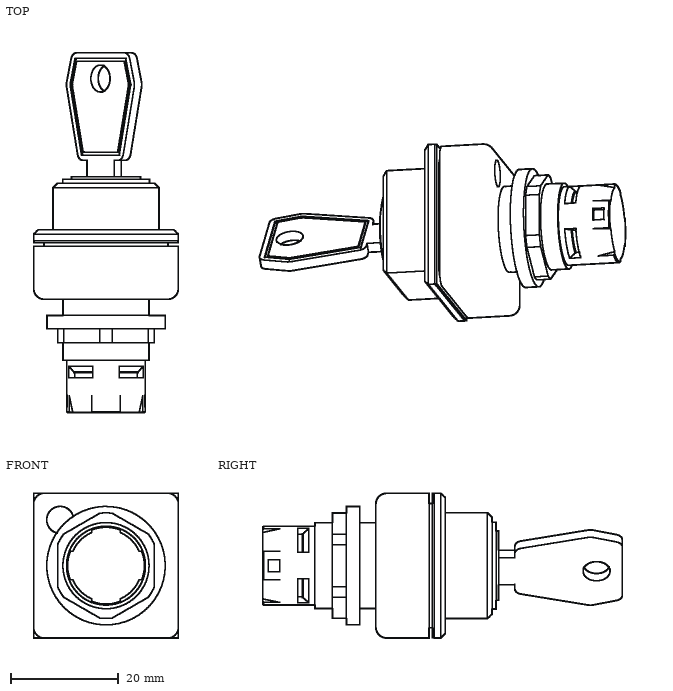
import cadquery as cq
import math


plate_side = 26.9
edge_chamfer = 0.85
spacer_side = 23.1
spacer_corner = 2.0
head_side = 19.7
spacer_front = 0.6
base_sheet_side = 26.8
base_sheet_front = 0.95
plate_front = 3.05
head_front = 11.7

collar_diameter = 16.15
collar_front = 12.45
lock_diameter = 12.9
lock_front = 12.9

housing_rear = -9.9
housing_round = 2.05
peg_hole_diameter = 5.0
peg_hole_offset = 8.5
peg_hole_depth = 1.5
core_side = 24.4
core_round = 2.0

barrel_diameter = 16.0
barrel_rear = -21.2
washer_diameter = 22.0
washer_front = -12.85
washer_rear = -15.35
nut_sides = 6
nut_flats = 18.0
nut_corner_diameter = 19.6
nut_rear = -17.95

tail_diameter = 14.65
tail_rear = -30.9
tail_chamfer = 0.2
slot_ledge_diameter = 12.9
slot_floor_diameter = 12.6
slot_front = -22.3
slot_rear = -24.4
slot_ramp = 1.05
slot_ledge = 0.15
slot_side = 2.45
notch_front = -27.75
notch_end_diameter = 13.4
notch_side = 2.65
window_front = -27.7
window_rear = -29.8
window_width = 2.2
window_depth = 1.2

key_turn = -45.0
key_thickness = 1.95
key_shift = -0.5
shank_width = 7.15
shank_insertion = 1.0
shank_root = lock_front - shank_insertion
bow_rear = 15.9
bow_front = 35.9
bow_rear_half_width = 5.75
bow_front_half_width = 7.4
bow_shoulder_half_width = 9.0
bow_shoulder_y = 30.0
bow_round = 1.5
groove_inset = 1.0
groove_width = 0.55
groove_depth = 0.3
key_hole_diameter = 5.0
key_hole_y = 31.1

overlap = 1.0


def square_block(side, rear, front):
    return cq.Workplane("XY").box(side, front - rear, side).translate((0, (front + rear) / 2, 0))


def cylinder(diameter, rear, front):
    return cq.Workplane("XZ", origin=(0, front, 0)).circle(diameter / 2).extrude(front - rear)


def turned(profile):
    """Solid of revolution about Y from (radius, y) points."""
    return cq.Workplane("XY").polyline(profile).close().revolve(360, (0, 0, 0), (0, 1, 0))


def make_front():
    """Spacer, bevelled plate on a slightly smaller base sheet, square head and round lock face."""
    spacer = square_block(spacer_side, 0, spacer_front).edges("|Y").fillet(spacer_corner)
    base_sheet = square_block(base_sheet_side, spacer_front, base_sheet_front)
    plate = square_block(plate_side, base_sheet_front, plate_front).faces(">Y").chamfer(edge_chamfer)
    head = square_block(head_side, plate_front, head_front).faces(">Y").chamfer(edge_chamfer)
    collar = cylinder(collar_diameter, head_front, collar_front)
    lock = cylinder(lock_diameter, collar_front, lock_front)
    return spacer.union(base_sheet).union(plate).union(head).union(collar).union(lock)


def make_housing():
    housing = square_block(plate_side, housing_rear, 0)
    housing = housing.edges("|Y").fillet(housing_round).faces("<Y").edges().fillet(housing_round)
    hole_floor = housing_rear + peg_hole_depth
    hole = cylinder(peg_hole_diameter, housing_rear - overlap, hole_floor + core_round)
    hole = hole.translate((-peg_hole_offset, 0, peg_hole_offset))
    core = square_block(core_side, hole_floor, hole_floor + 2 * core_round)
    core = core.edges("|Y").fillet(core_round).faces("<Y").edges().fillet(core_round)
    return housing.cut(hole.cut(core))


def make_nut():
    """Hexagon with flats facing +X and -X and its corners turned round."""
    half_side_angle = 180 / nut_sides
    corner_diameter = nut_flats / math.cos(math.radians(half_side_angle))
    nut = cq.Workplane("XZ", origin=(0, washer_rear, 0)).polygon(nut_sides, corner_diameter)
    nut = nut.extrude(washer_rear - nut_rear).rotate((0, 0, 0), (0, 1, 0), half_side_angle)
    return nut.intersect(cylinder(nut_corner_diameter, nut_rear, washer_rear))


def corner_columns(side, rear, front):
    """Four square columns along Y, one per diagonal, each starting at side from the axis planes."""
    size = tail_diameter
    columns = cq.Workplane("XY")
    for x_side in (-1, 1):
        for z_side in (-1, 1):
            centre = side + size / 2
            column = square_block(size, rear, front)
            columns = columns.add(column.translate((x_side * centre, 0, z_side * centre)))
    return columns.combine()


def cut_slots(tail):
    """Ramped snap slots that step down over a narrow ledge to a round floor."""
    outer = tail_diameter / 2 + overlap
    surface = tail_diameter / 2
    ledge = slot_ledge_diameter / 2
    floor = slot_floor_diameter / 2
    ramp_end = slot_front - slot_ramp
    ledge_end = ramp_end - slot_ledge
    ring = turned([
        (surface, slot_front),
        (ledge, ramp_end),
        (ledge, ledge_end),
        (floor, ledge_end),
        (floor, slot_rear),
        (outer, slot_rear),
        (outer, slot_front),
    ])
    return tail.cut(ring.intersect(corner_columns(slot_side, slot_rear, slot_front)))


def cut_notches(tail):
    """Lead-in notches that deepen towards the rear end."""
    outer = tail_diameter / 2 + overlap
    surface = tail_diameter / 2
    ring = turned([
        (surface, notch_front),
        (notch_end_diameter / 2, tail_rear),
        (outer, tail_rear),
        (outer, notch_front),
    ])
    return tail.cut(ring.intersect(corner_columns(notch_side, tail_rear, notch_front)))


def cut_windows(tail):
    for x_side in (-1, 1):
        window = cq.Workplane("XY").box(2 * window_depth, window_front - window_rear, window_width)
        window = window.translate((x_side * tail_diameter / 2, (window_front + window_rear) / 2, 0))
        tail = tail.cut(window)
    return tail


def make_barrel():
    barrel = cylinder(barrel_diameter, barrel_rear, housing_rear)
    washer = cylinder(washer_diameter, washer_rear, washer_front)
    tail = cylinder(tail_diameter, tail_rear, barrel_rear).faces("<Y").chamfer(tail_chamfer)
    tail = cut_windows(cut_notches(cut_slots(tail)))
    return barrel.union(washer).union(make_nut()).union(tail)


def bow_outline(inset, thickness):
    """Key bow as a plate from z = 0 down, with its outline moved inwards by inset."""
    bow = cq.Workplane("XY").polyline([
        (-bow_rear_half_width, bow_rear),
        (bow_rear_half_width, bow_rear),
        (bow_shoulder_half_width, bow_shoulder_y),
        (bow_front_half_width, bow_front),
        (-bow_front_half_width, bow_front),
        (-bow_shoulder_half_width, bow_shoulder_y),
    ]).close()
    if inset:
        bow = bow.offset2D(-inset)
    return bow.extrude(-thickness)


def make_key():
    bow = bow_outline(0, key_thickness)
    bow = bow.edges("|Z").fillet(bow_round)
    groove = bow_outline(groove_inset, groove_depth)
    groove = groove.cut(bow_outline(groove_inset + groove_width, groove_depth))
    hole = cq.Workplane("XY").center(0, key_hole_y).circle(key_hole_diameter / 2).extrude(-key_thickness)
    shank_length = bow_rear - shank_root + overlap
    shank = cq.Workplane("XY").box(shank_width, shank_length, key_thickness)
    shank = shank.translate((0, shank_root + shank_length / 2, -key_thickness / 2))
    key = bow.union(shank).cut(groove).cut(hole)
    key = key.translate((key_shift, 0, key_thickness / 2))
    return key.rotate((0, 0, 0), (0, 1, 0), key_turn)


result = make_housing().union(make_front()).union(make_barrel()).union(make_key()).solids()